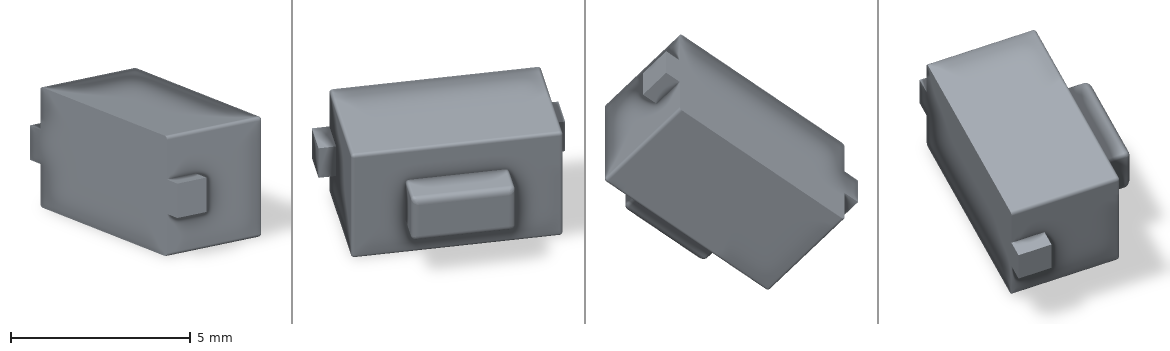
import cadquery as cq

overall_width = 7.0
overall_depth = 4.3
tab_size = 1.0
tab_reach = 0.5
button_reach = 1.0
body_height = 3.5
button_width = 2.94
button_height = 1.435
edge_radius = 0.1
button_face_radius = 0.195

body_width = overall_width - 2 * tab_reach
body_depth = overall_depth - button_reach


def block(width, depth, height):
    """Box centred on X and Z, with its front face at Y = 0."""
    return cq.Workplane("XY").box(width, depth, height, centered=(True, False, True))


def rounded_block(width, depth, height, side_radius, back_radius):
    """Block with rounded edges along Y and around its back face."""
    rounded_sides = block(width, depth, height).edges("|Y").fillet(side_radius)
    return rounded_sides.faces(">Y").edges().fillet(back_radius)


body = rounded_block(body_width, body_depth, body_height, edge_radius, edge_radius)

button = rounded_block(
    button_width, overall_depth, button_height, edge_radius, button_face_radius
)

tabs = block(overall_width, tab_size, tab_size)

result = body.union(button).union(tabs).solids()